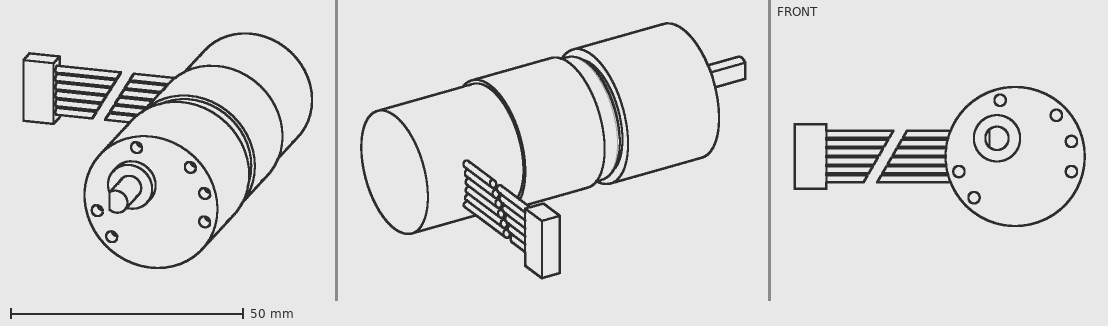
import cadquery as cq
import math


shaft_length = 10.0
boss_length = 2.5
gearbox_length = 23.0
neck_length = 0.85
front_can_length = 4.8
sleeve_length = 20.0
rear_can_length = 13.0
cap_length = 11.1

gearbox_diameter = 30.0
neck_diameter = 25.4
can_diameter = 27.4
sleeve_diameter = 29.0
boss_diameter = 10.0
shaft_diameter = 5.0

shaft_offset = 5.5
shaft_angle = 135
flat_length = 9.1
flat_depth = 0.9

hole_diameter = 2.5
hole_depth = 4.0
hole_circle_radius = 12.5
hole_angles = [15, 45, 105, 195, 225, 345]

wire_count = 6
wire_diameter = 1.5
wire_span = 9.6
gap_angle = 60
connector_cut_x = -29.4
motor_cut_x = -26.5

connector_left_x = -47.4
connector_length = 6.8
connector_width = 4.6
connector_height = 13.9

shaft_x = shaft_offset * math.cos(math.radians(shaft_angle))
shaft_z = shaft_offset * math.sin(math.radians(shaft_angle))
can_front_y = gearbox_length + neck_length
sleeve_front_y = can_front_y + front_can_length
sleeve_rear_y = sleeve_front_y + sleeve_length
cap_front_y = sleeve_rear_y + rear_can_length
can_edge_radius = (can_diameter - neck_diameter) / 2
wire_pitch = wire_span / (wire_count - 1)
wire_y = cap_front_y + wire_diameter / 2
connector_right_x = connector_left_x + connector_length


def cylinder_along_y(diameter, start_y, length, x=0, z=0):
    """Cylinder parallel to the motor axis, growing from start_y towards +Y."""
    plane = cq.Plane(origin=(x, start_y, z), xDir=(1, 0, 0), normal=(0, 1, 0))
    return cq.Workplane(plane).circle(diameter / 2).extrude(length)


def make_shaft():
    """D-shaped output shaft with its flat facing -X."""
    tip_y = -boss_length - shaft_length
    shaft = cylinder_along_y(shaft_diameter, tip_y, shaft_length, shaft_x, shaft_z)
    flat_cutter = cq.Workplane("XY").box(
        flat_depth, flat_length, shaft_diameter, centered=(False, False, True)
    ).translate((shaft_x - shaft_diameter / 2, tip_y, shaft_z))
    return shaft.cut(flat_cutter)


def make_mounting_holes():
    """Cutters for the blind holes in the gearbox face."""
    holes = cq.Workplane("XY")
    for angle in hole_angles:
        x = hole_circle_radius * math.cos(math.radians(angle))
        z = hole_circle_radius * math.sin(math.radians(angle))
        holes = holes.add(cylinder_along_y(hole_diameter, 0, hole_depth, x, z))
    return holes.combine()


def make_wires(square_x, cut_x):
    """All wires from a square end at square_x to a slanted end at cut_x."""
    half_height = wire_span
    run = 2 * half_height / math.tan(math.radians(gap_angle))
    envelope = (
        cq.Workplane("XZ", origin=(0, wire_y, 0))
        .polyline([
            (square_x, -half_height),
            (cut_x - run / 2, -half_height),
            (cut_x + run / 2, half_height),
            (square_x, half_height),
        ])
        .close()
        .extrude(wire_diameter, both=True)
    )
    first_x = min(square_x, cut_x - run / 2)
    last_x = max(square_x, cut_x + run / 2)
    wires = (
        cq.Workplane("YZ", origin=(first_x, wire_y, 0))
        .rarray(0.85, wire_pitch, 1, wire_count)
        .circle(wire_diameter / 2)
        .extrude(last_x - first_x)
    )
    return wires.intersect(envelope)


def make_motor():
    """Gearbox, motor can, sleeve, encoder cap, shaft and the wires leaving the cap."""
    gearbox = cylinder_along_y(gearbox_diameter, 0, gearbox_length).cut(make_mounting_holes())
    neck = cylinder_along_y(neck_diameter, gearbox_length, neck_length)
    can = cylinder_along_y(can_diameter, can_front_y, cap_front_y + cap_length - can_front_y)
    can = can.faces("<Y").edges().fillet(can_edge_radius)
    sleeve = cylinder_along_y(sleeve_diameter, sleeve_front_y, sleeve_length)
    boss = cylinder_along_y(boss_diameter, -boss_length, boss_length, shaft_x, shaft_z)
    wires = make_wires(0, motor_cut_x)
    return gearbox.union(neck).union(can).union(sleeve).union(boss).union(make_shaft()).union(wires)


def make_connector():
    """Connector block with its wires."""
    block = cq.Workplane("XY").box(
        connector_length, connector_width, connector_height, centered=(False, True, True)
    ).translate((connector_left_x, wire_y, 0))
    return block.union(make_wires(connector_right_x, connector_cut_x))


motor = make_motor()
connector = make_connector()

result = cq.Compound.makeCompound([motor.solids().val(), connector.solids().val()])